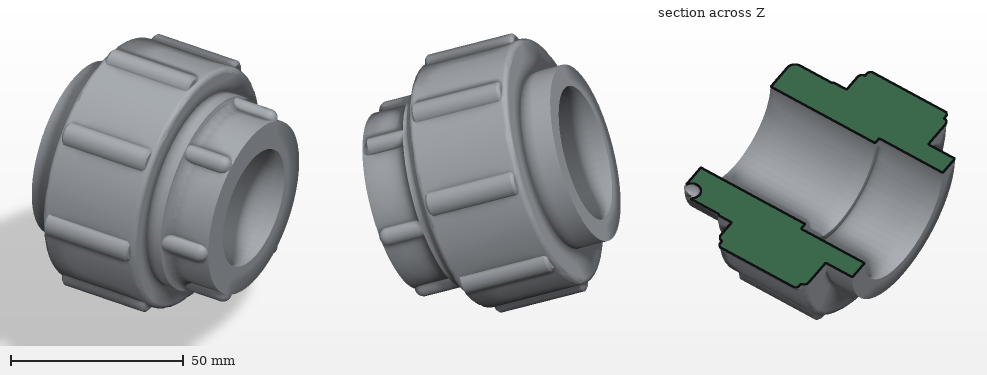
import cadquery as cq

total_length = 59.0
nut_start = 9.35
nut_end = 40.3
flange_end = 45.0
socket_depth = 22.3

barrel_diameter = 52.8
flange_diameter = 59.2
nut_diameter = 73.45
socket_diameter = 40.0
bore_diameter = 35.8
nut_edge_radius = 1.55
flange_fillet_radius = (flange_diameter - barrel_diameter) / 2

outer_diameter = 78.0
nut_rib_count = 8
nut_rib_radius = 3.75
nut_rib_inset = 1.55
nut_rib_chamfer = 0.8

barrel_rib_count = 6
barrel_rib_radius = 2.65
barrel_rib_offset = 26.5


def cylinder(diameter, start, end):
    """Solid cylinder around the X axis between two stations."""
    return cq.Workplane("YZ", origin=(start, 0, 0)).circle(diameter / 2).extrude(end - start)


def around_axis(body, count):
    """Copies of a body spread evenly around the X axis."""
    copies = body
    for index in range(1, count):
        copies = copies.union(body.rotate((0, 0, 0), (1, 0, 0), index * 360 / count))
    return copies


def turned_body():
    """Barrel, flange with its concave fillet, and rounded nut."""
    barrel = cylinder(barrel_diameter, 0, total_length)
    flange = cylinder(flange_diameter, nut_start, flange_end)
    nut = cylinder(nut_diameter, nut_start, nut_end).edges().fillet(nut_edge_radius)
    fillet_ring = (
        cq.Workplane("XY")
        .moveTo(flange_end, 0)
        .lineTo(flange_end, flange_diameter / 2)
        .radiusArc((flange_end + flange_fillet_radius, barrel_diameter / 2), -flange_fillet_radius)
        .lineTo(flange_end + flange_fillet_radius, 0)
        .close()
        .revolve(360, (0, 0, 0), (1, 0, 0))
    )
    return barrel.union(flange).union(fillet_ring).union(nut)


def nut_ribs():
    """Chamfered round ribs half sunk into the rim of the nut."""
    rib = cylinder(2 * nut_rib_radius, nut_start + nut_rib_inset, nut_end - nut_rib_inset)
    rib = rib.edges().chamfer(nut_rib_chamfer)
    rib = rib.translate((0, -(outer_diameter / 2 - nut_rib_radius), 0))
    return around_axis(rib, nut_rib_count)


def barrel_ribs():
    """Round ribs from the flange to the barrel end, each with a spherical nose."""
    nose_center = total_length - barrel_rib_radius
    nose = cq.Workplane("XY").sphere(barrel_rib_radius).translate((nose_center, 0, 0))
    rib = cylinder(2 * barrel_rib_radius, flange_end, nose_center).union(nose)
    return around_axis(rib.translate((0, -barrel_rib_offset, 0)), barrel_rib_count)


def stepped_bore():
    """Through bore widened to a socket at the plain end."""
    bore = cylinder(bore_diameter, 0, total_length)
    return bore.union(cylinder(socket_diameter, 0, socket_depth))


result = turned_body().union(nut_ribs()).union(barrel_ribs()).cut(stepped_bore())